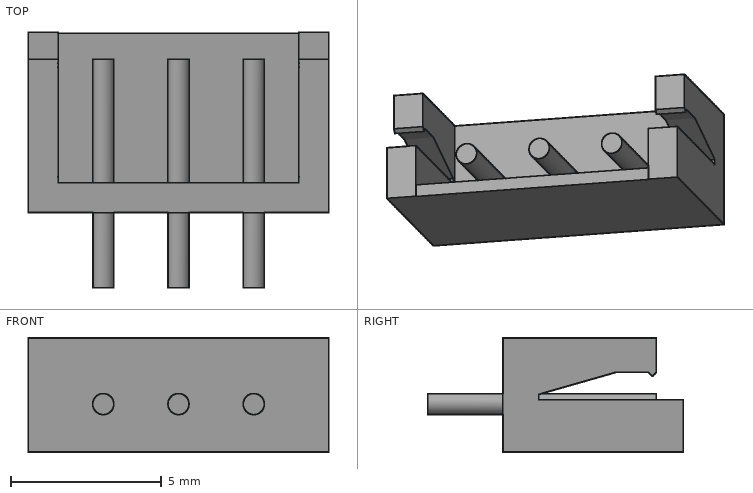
import cadquery as cq

housing_width = 10.0
housing_depth = 6.0
housing_height = 3.8
wall = 1.0
floor_thickness = 0.4
floor_setback = 0.03

ledge_height = 1.75
arm_end = 5.1
slot_root = 1.2
slot_root_height = 1.92
slot_mouth = 3.75
slot_mouth_height = 2.65
barb_depth = 0.13
barb_half_width = 0.13

pin_count = 3
pin_pitch = 2.5
pin_diameter = 0.7
pin_axis_height = 1.6
pin_protrusion = 2.5
pin_back = arm_end


def make_side_profile():
    """Side outline of the housing in the YZ plane, extruded over the full width."""
    barb_tip = arm_end - barb_half_width
    outline = [
        (0, 0),
        (housing_depth, 0),
        (housing_depth, ledge_height),
        (slot_root, ledge_height),
        (slot_root, slot_root_height),
        (slot_mouth, slot_mouth_height),
        (barb_tip - barb_half_width, slot_mouth_height),
        (barb_tip, slot_mouth_height - barb_depth),
        (arm_end, slot_mouth_height),
        (arm_end, housing_height),
        (0, housing_height),
    ]
    profile = cq.Workplane("YZ").polyline(outline).close()
    return profile.extrude(housing_width / 2, both=True)


def make_box(width, y_start, y_end, z_start, z_end):
    """Box centred on X between the given Y and Z limits."""
    box = cq.Workplane("XY").box(width, y_end - y_start, z_end - z_start, centered=(True, False, False))
    return box.translate((0, y_start, z_start))


def make_housing():
    inner_width = housing_width - 2 * wall
    floor_back = housing_depth - floor_setback
    cavity = make_box(inner_width, wall, housing_depth, floor_thickness, housing_height)
    floor_gap = make_box(inner_width, floor_back, housing_depth, 0, floor_thickness)
    return make_side_profile().cut(cavity).cut(floor_gap)


def make_pin(x):
    """Round pin along Y, from in front of the housing to the end of the arms."""
    front_plane = cq.Workplane("XZ", origin=(x, -pin_protrusion, pin_axis_height))
    return front_plane.circle(pin_diameter / 2).extrude(-(pin_protrusion + pin_back))


result = make_housing()
for index in range(pin_count):
    pin_x = (index - (pin_count - 1) / 2) * pin_pitch
    result = result.union(make_pin(pin_x))